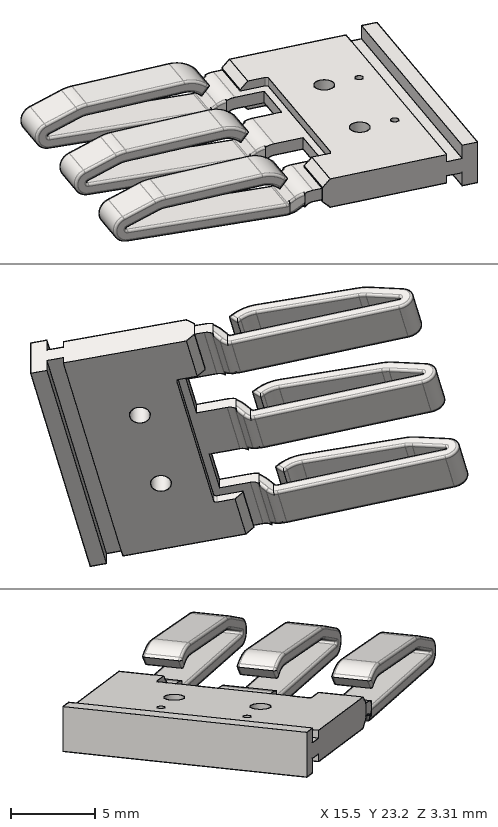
import cadquery as cq
import math


body_width = 15.5
flange_height = 2.78
flange_depth = 1.0
neck_height = 0.97
body_height = 1.95
body_start = 2.0
body_end = 10.0
front_chamfer = (body_height - neck_height) / 2
recess_width = 9.83
recess_start = 8.23
recess_corner_radius = 0.16

hole_spacing = 5.47
through_hole_diameter = 1.23
through_hole_distance = 5.5
dimple_diameter = 0.49
dimple_distance = 3.25
dimple_depth = 0.49

contact_pitch = 6.0
contact_positions = [-contact_pitch, 0, contact_pitch]
sheet_thickness = 0.8
web_end = 8.7
root_width = 3.32
arm_width = 2.5
taper_start = 11.1
arm_start = 11.9
edge_radius = 0.16

centreline_start = (recess_start, 0)
centreline_bends = [
    ((11.02, 0), 1.07),
    ((11.9, -0.88), 0.5),
    ((24.88, -0.23), 0.49),
    ((20.2, 1.37), 1.85),
    ((12.96, 1.53), 1.8),
]
centreline_end = (12.25, 0.93)


def side_sketch():
    """Workplane looking along X: local x is Y, local y is Z."""
    return cq.Workplane("YZ")


def block(width, start, end, height):
    """Box centred on X and Z between two distances."""
    return cq.Workplane("XY").box(width, end - start, height).translate((0, -(start + end) / 2, 0))


def direction(start, end):
    return (end - start).normalized()


def left_normal(along):
    return cq.Vector(-along.y, along.x)


def sheet_face_path(offset):
    """Start point, bend arcs (first, middle, last) and end point of a line offset left of the centreline."""
    corners = [cq.Vector(*centreline_start)]
    corners += [cq.Vector(*corner) for corner, _ in centreline_bends]
    corners += [cq.Vector(*centreline_end)]
    arcs = []
    for index, (_, radius) in enumerate(centreline_bends, start=1):
        corner = corners[index]
        incoming = direction(corners[index - 1], corner)
        outgoing = direction(corner, corners[index + 1])
        turn = math.copysign(1, incoming.cross(outgoing).z)
        half_turn = incoming.getAngle(outgoing) / 2
        tangent_point = corner - incoming * (radius * math.tan(half_turn))
        centre = tangent_point + left_normal(incoming) * (turn * radius)
        face_radius = radius - turn * offset
        middle_direction = direction(centre, corner)
        arcs.append((
            centre - left_normal(incoming) * (turn * face_radius),
            centre + middle_direction * face_radius,
            centre - left_normal(outgoing) * (turn * face_radius),
        ))
    first = corners[0] + left_normal(direction(corners[0], corners[1])) * offset
    last = corners[-1] + left_normal(direction(corners[-2], corners[-1])) * offset
    return first, arcs, last


def bent_sheet(width):
    """The whole bent contact strip, extruded to one width about X = 0."""

    def to_side(point):
        return (-point.x, point.y)

    first, arcs, last = sheet_face_path(sheet_thickness / 2)
    outline = side_sketch().moveTo(*to_side(first))
    for start, middle, end in arcs:
        outline = outline.lineTo(*to_side(start)).threePointArc(to_side(middle), to_side(end))
    outline = outline.lineTo(*to_side(last))

    first, arcs, last = sheet_face_path(-sheet_thickness / 2)
    outline = outline.lineTo(*to_side(last))
    for start, middle, end in reversed(arcs):
        outline = outline.lineTo(*to_side(end)).threePointArc(to_side(middle), to_side(start))
    outline = outline.lineTo(*to_side(first)).close()
    return outline.extrude(width / 2, both=True)


def contact_root():
    """Wide sharp-edged part of a contact, from the body to the taper."""
    return bent_sheet(root_width).intersect(block(root_width, recess_start, taper_start, 2 * flange_height))


def contact_taper():
    """Part narrowing from root to arm, with its edges rounded."""
    wedge = (
        cq.Workplane("XY", origin=(0, 0, -flange_height))
        .moveTo(-root_width / 2, -taper_start)
        .lineTo(-arm_width / 2, -arm_start)
        .lineTo(arm_width / 2, -arm_start)
        .lineTo(root_width / 2, -taper_start)
        .close()
        .extrude(flange_height + sheet_thickness)
    )
    taper = bent_sheet(root_width).intersect(wedge)
    return taper.edges("not #Y").fillet(edge_radius)


def contact_arm():
    """Hairpin spring arm with the edges of both sides rounded, around the free end too."""
    root_space = block(root_width, recess_start, arm_start, 2 * flange_height)
    arm = bent_sheet(arm_width).cut(root_space)
    return arm.faces("<X or >X").edges("not >Y").fillet(edge_radius)


def body():
    """T-shaped grip flange, neck and holder with a chamfered front."""
    flange = block(body_width, 0, flange_depth, flange_height)
    neck = block(body_width, flange_depth, body_start, neck_height)
    holder = block(body_width, body_start, body_end, body_height)
    holder = holder.faces("<Y").edges("|X").chamfer(front_chamfer)
    recess_end = body_end + recess_corner_radius
    recess = block(recess_width, recess_start, recess_end, body_height)
    recess = recess.edges("|Z and >Y").fillet(recess_corner_radius)
    web = block(recess_width, recess_start, web_end, sheet_thickness)
    return flange.union(neck).union(holder.cut(recess)).union(web)


def drill_holes(part):
    """Two through holes, and a blind dimple behind each."""
    body_top = body_height / 2
    for x in (-hole_spacing / 2, hole_spacing / 2):
        through_hole = (
            cq.Workplane("XY", origin=(x, -through_hole_distance, -body_top))
            .circle(through_hole_diameter / 2)
            .extrude(body_height)
        )
        dimple = (
            cq.Workplane("XY", origin=(x, -dimple_distance, body_top))
            .circle(dimple_diameter / 2)
            .extrude(-dimple_depth)
        )
        part = part.cut(through_hole).cut(dimple)
    return part


contact = contact_root().union(contact_taper()).union(contact_arm())
result = drill_holes(body())
for contact_x in contact_positions:
    result = result.union(contact.translate((contact_x, 0, 0)))